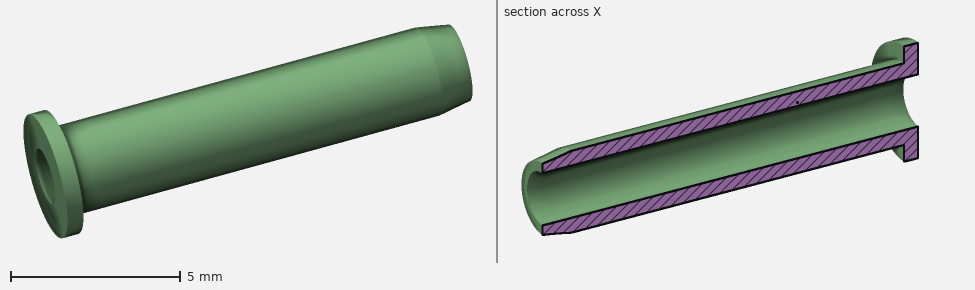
import cadquery as cq

total_length = 13.0
flange_diameter = 3.8
flange_thickness = 0.5
shank_diameter = 2.7
bore_diameter = 1.7
tip_length = 1.0
tip_end_diameter = 2.35

flange_radius = flange_diameter / 2
shank_radius = shank_diameter / 2
bore_radius = bore_diameter / 2
tip_end_radius = tip_end_diameter / 2
tip_start = total_length - tip_length


def make_sleeve():
    """Revolve the half section (X is radius) about the Y axis."""
    half_section = (
        cq.Workplane("XY")
        .moveTo(bore_radius, 0)
        .lineTo(flange_radius, 0)
        .lineTo(flange_radius, flange_thickness)
        .lineTo(shank_radius, flange_thickness)
        .lineTo(shank_radius, tip_start)
        .lineTo(tip_end_radius, total_length)
        .lineTo(bore_radius, total_length)
        .close()
    )
    return half_section.revolve(360, (0, 0, 0), (0, 1, 0))


result = make_sleeve()